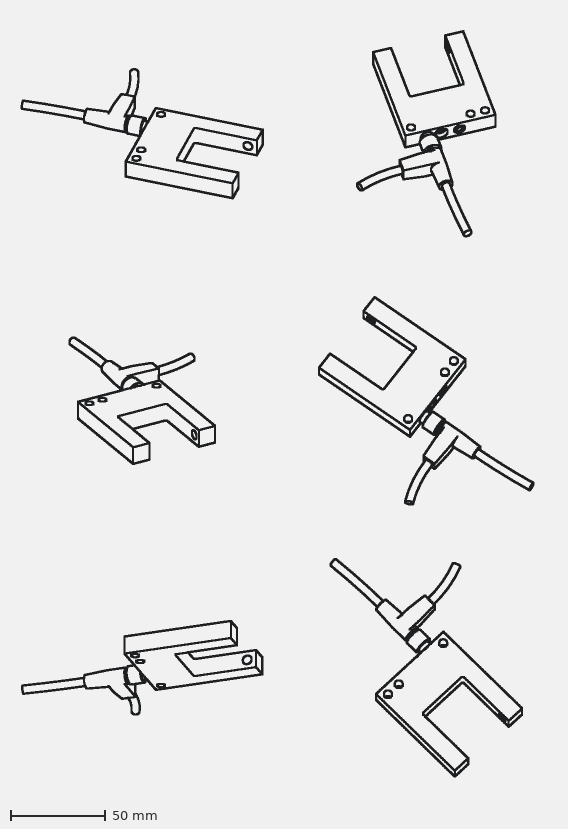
import cadquery as cq
import math

housing_length = 60.0
housing_width = 50.0
housing_height = 10.0
arm_width = 10.0
slot_width = housing_width - 2 * arm_width
slot_depth = 35.0
slot_floor_x = housing_length - slot_depth
slot_corner_radius = 1.0

mount_hole_diameter = 4.3
mount_hole_inset = 4.5
mount_hole_pitch = 8.0
mount_hole_places = [
    (mount_hole_inset, mount_hole_inset),
    (mount_hole_inset, mount_hole_inset + mount_hole_pitch),
    (mount_hole_inset, housing_width - mount_hole_inset),
]

adjuster_y = 30.0
adjuster_diameter = 7.0
adjuster_depth = 3.0
adjuster_stud_diameter = 2.5
adjuster_stud_height = 0.5
indicator_y = 20.0
indicator_diameter = 6.0
indicator_depth = 1.0
indicator_stud_diameter = 3.0
indicator_stud_height = indicator_depth

window_diameter = 5.0
window_depth = 0.1
window_x = housing_length - 5.0

connector_y = 38.0
socket_diameter = 7.0
socket_end_x = -3.0
nut_diameter = 10.0
nut_end_x = -10.5
neck_diameter = 6.0
neck_end_x = -12.0
barrel_diameter = 9.0
barrel_end_x = -22.5
sleeve_tip_diameter = 7.5
sleeve_end_x = -35.0

branch_width = barrel_diameter
branch_tip_width = sleeve_tip_diameter
branch_x = barrel_end_x + branch_width / 2
branch_straight_length = 8.0
branch_length = 19.5

cable_diameter = 4.5
main_cable_reach = 35.0
main_cable_radius = 375.0
branch_cable_reach = 24.71
branch_cable_radius = 63.5


def left_face_cylinder(y, diameter, start_x, length):
    """Cylinder along +X, starting at start_x, on the housing mid-plane."""
    plane = cq.Workplane("YZ", origin=(start_x, y, 0))
    return plane.circle(diameter / 2).extrude(length)


def studded_well(y, diameter, depth, stud_diameter, stud_height):
    """Round well sunk into the left face, less the stud standing on its floor."""
    well = left_face_cylinder(y, diameter, 0, depth)
    stud = left_face_cylinder(y, stud_diameter, depth - stud_height, stud_height)
    return well.cut(stud)


def make_housing():
    body = cq.Workplane("XY").box(
        housing_length, housing_width, housing_height, centered=(False, False, True)
    )
    slot = (
        cq.Workplane("XY")
        .box(slot_depth, slot_width, housing_height, centered=(False, False, True))
        .edges("|Z and <X")
        .fillet(slot_corner_radius)
        .translate((slot_floor_x, arm_width, 0))
    )
    mount_holes = (
        cq.Workplane("XY", origin=(0, 0, -housing_height / 2))
        .pushPoints(mount_hole_places)
        .circle(mount_hole_diameter / 2)
        .extrude(housing_height)
    )
    windows = (
        cq.Workplane("XZ", origin=(window_x, housing_width / 2, 0))
        .circle(window_diameter / 2)
        .extrude(slot_width / 2 + window_depth, both=True)
    )
    adjuster = studded_well(
        adjuster_y, adjuster_diameter, adjuster_depth, adjuster_stud_diameter, adjuster_stud_height
    )
    indicator = studded_well(
        indicator_y, indicator_diameter, indicator_depth, indicator_stud_diameter, indicator_stud_height
    )
    for cutter in (slot, mount_holes, windows, adjuster, indicator):
        body = body.cut(cutter)
    return body


def make_connector():
    profile = [
        (0, 0),
        (0, socket_diameter / 2),
        (socket_end_x, socket_diameter / 2),
        (socket_end_x, nut_diameter / 2),
        (nut_end_x, nut_diameter / 2),
        (nut_end_x, neck_diameter / 2),
        (neck_end_x, neck_diameter / 2),
        (neck_end_x, barrel_diameter / 2),
        (barrel_end_x, barrel_diameter / 2),
        (sleeve_end_x, sleeve_tip_diameter / 2),
        (sleeve_end_x, 0),
    ]
    turned = (
        cq.Workplane("XY", origin=(0, connector_y, 0))
        .polyline(profile)
        .close()
        .revolve(360, (0, 0, 0), (1, 0, 0))
    )
    branch_block = cq.Workplane("XY", origin=(branch_x, connector_y, 0)).box(
        branch_width, branch_straight_length, branch_width, centered=(True, False, True)
    )
    branch_taper = (
        cq.Workplane("XZ", origin=(branch_x, connector_y + branch_straight_length, 0))
        .rect(branch_width, branch_width)
        .workplane(offset=branch_straight_length - branch_length)
        .rect(branch_tip_width, branch_tip_width)
        .loft()
    )
    return turned.union(branch_block).union(branch_taper)


def make_cable(reach, bend_radius):
    """Cable leaving the origin along -X and bending towards -Y until it has gone `reach` in X."""
    bend_angle = math.degrees(math.asin(reach / bend_radius))
    return (
        cq.Workplane("YZ")
        .circle(cable_diameter / 2)
        .revolve(bend_angle, (-bend_radius, 0, 0), (-bend_radius, 1, 0))
    )


housing = make_housing()
connector = make_connector()
main_cable = make_cable(main_cable_reach, main_cable_radius).translate(
    (sleeve_end_x, connector_y, 0)
)
branch_cable = (
    make_cable(branch_cable_reach, branch_cable_radius)
    .rotate((0, 0, 0), (0, 0, 1), -90)
    .translate((branch_x, connector_y + branch_length, 0))
)

result = cq.Compound.makeCompound(
    [housing.val(), connector.val(), main_cable.val(), branch_cable.val()]
)